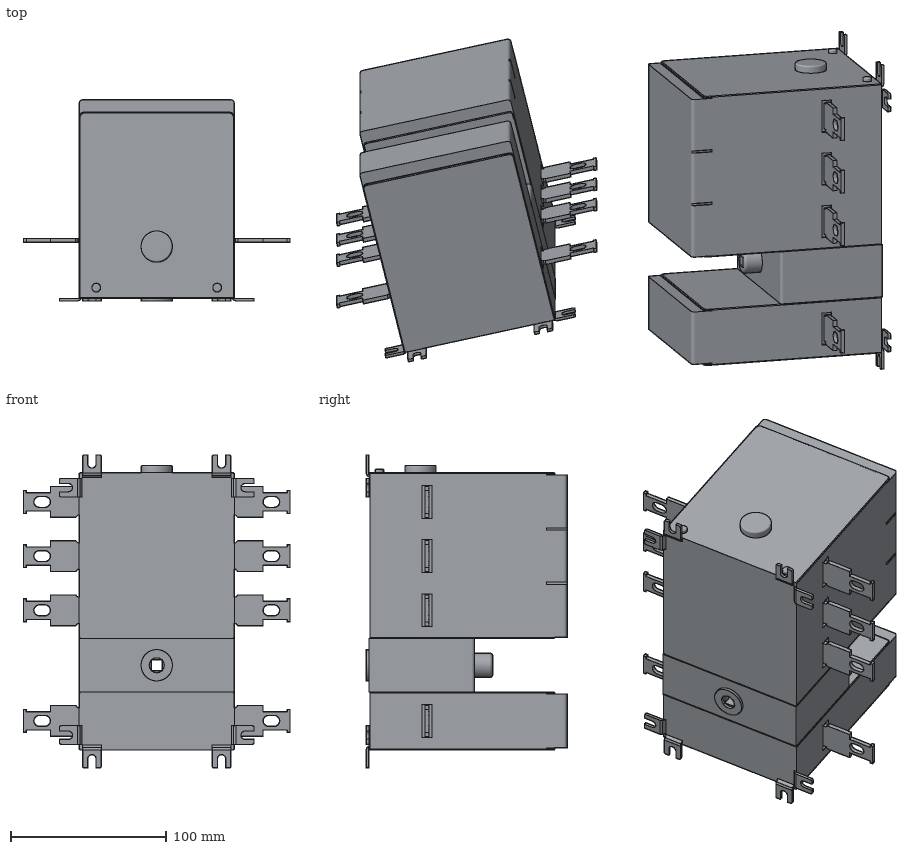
import cadquery as cq


overall_width = 172.0
overall_depth = 129.9
overall_height = 202.0

housing_width = 100.0
housing_half_height = 89.5
housing_front = 2.5
housing_back = 121.8
housing_corner = 3.0
housing_bevel = 0.6
pole_pitch = 35.0
cover_margin = 1.5
cover_top = housing_half_height - cover_margin
upper_pole_count = 3
lower_pole_z = -(cover_top - pole_pitch / 2)
pole_centres = [cover_top - (i + 0.5) * pole_pitch for i in range(upper_pole_count)] + [lower_pole_z]

cover_front = 116.4
cover_corner = 2.2
groove_width = 1.5
end_groove_width = 0.5
groove_depth = 1.0

drive_top = -17.4
drive_bottom = -52.1
drive_middle = (drive_top + drive_bottom) / 2
drive_front = 1.8
drive_back = 70.0
drive_corner = 1.8

shaft_radius = 7.9
shaft_back = 81.8
shaft_tip_round = 2.0
collar_radius = 10.0
bore_radius = 4.8
bore_depth = 1.8
socket_side = 6.9

button_radius = 10.0
button_height = 4.6
button_round = 1.0
button_y = 35.1
screw_radius = 2.8
screw_height = 2.2
screw_round = 0.8
screw_x = 39.0
screw_y = 8.7

terminal_y = 39.2
terminal_thickness = 2.6
terminal_height = 20.0
terminal_shoulder = 68.7
terminal_neck_height = 12.0
terminal_lip_height = 15.0
terminal_lip_width = 1.8
terminal_root = 51.0
terminal_embed = 2.0
terminal_corner = 1.5
terminal_hole_x = 74.0
terminal_hole_length = 10.5
terminal_hole_height = 6.9
window_thickness = 6.5
window_height = 21.2
window_depth = 2.0

foot_width = 12.1
foot_thickness = 1.8
foot_slot_width = 5.3
foot_slot_depth = 8.5
foot_tip_corner = 1.2
foot_bend_start = 11.7
foot_bend_middle = 13.3
foot_bend_end = 14.7
foot_bend_drop = 0.6
foot_root_top = 13.0
foot_embed = 1.0
end_foot_x = 41.8
side_foot_reach = 62.8
side_foot_z = 79.8


def box_between(width, y_front, y_back, z_bottom, z_top):
    """Box centred on X = 0, given by its limits along Y and Z."""
    return (
        cq.Workplane("XY")
        .box(width, y_back - y_front, z_top - z_bottom, centered=(True, False, False))
        .translate((0, y_front, z_bottom))
    )


def y_cylinder(radius, y_front, y_back):
    """Cylinder along Y on the drive axis."""
    return (
        cq.Workplane("XZ", origin=(0, y_front, drive_middle))
        .circle(radius)
        .extrude(-(y_back - y_front))
    )


def side_grooves(z_bottom, z_top):
    """Shallow groove in each side of a cover, between two heights."""
    groove = box_between(2 * groove_depth, cover_front, overall_depth, z_bottom, z_top)
    left = groove.translate((-housing_width / 2, 0, 0))
    return left.union(left.mirror("YZ"))


def pole_housing(z_bottom, z_top, cover_bottom, cover_upper):
    """Housing bevelled at the ends except along the front, and its cover rounded at the two back corners."""
    housing = box_between(housing_width, housing_front, housing_back, z_bottom, z_top)
    housing = housing.edges("|Z and >Y").fillet(housing_corner)
    housing = housing.faces("<Z or >Z").edges("not <Y").chamfer(housing_bevel)
    cover = box_between(housing_width, cover_front, overall_depth, cover_bottom, cover_upper)
    cover = cover.edges("|Z and >Y").fillet(cover_corner)
    housing = housing.cut(side_grooves(cover_upper, cover_upper + end_groove_width))
    housing = housing.cut(side_grooves(cover_bottom - end_groove_width, cover_bottom))
    return housing.union(cover)


def drive_block():
    block = box_between(housing_width, drive_front, drive_back, drive_bottom, drive_top)
    return block.edges("|Z and >Y").fillet(drive_corner)


def drive_shaft():
    shaft = y_cylinder(shaft_radius, drive_back, shaft_back)
    shaft = shaft.faces(">Y").edges().fillet(shaft_tip_round)
    return shaft.union(y_cylinder(collar_radius, 0, drive_front))


def drive_socket():
    """Round bore at the front, then a square hole out through the shaft."""
    half = socket_side / 2
    square = box_between(socket_side, 0, shaft_back, drive_middle - half, drive_middle + half)
    return square.union(y_cylinder(bore_radius, 0, bore_depth))


def top_button():
    return (
        cq.Workplane("XY", origin=(0, button_y, housing_half_height))
        .circle(button_radius)
        .extrude(button_height)
        .faces(">Z")
        .edges()
        .fillet(button_round)
    )


def screw_head(x):
    return (
        cq.Workplane("XY", origin=(x, screw_y, housing_half_height))
        .circle(screw_radius)
        .extrude(screw_height)
        .faces(">Z")
        .edges()
        .fillet(screw_round)
    )


def terminal(z):
    """Flat terminal on the +X side: wide root, narrow neck with an oval hole, and an end lip."""
    root_inner = housing_width / 2 - window_depth - terminal_embed
    lip_inner = overall_width / 2 - terminal_lip_width
    root_half = terminal_height / 2
    upper_edge = [
        (root_inner, root_half - terminal_corner),
        (terminal_root, root_half - terminal_corner),
        (terminal_root + terminal_corner, root_half),
        (terminal_shoulder, root_half),
        (terminal_shoulder, terminal_neck_height / 2),
        (lip_inner, terminal_neck_height / 2),
        (lip_inner, terminal_lip_height / 2),
        (overall_width / 2, terminal_lip_height / 2),
    ]
    lower_edge = [(x, -height) for x, height in reversed(upper_edge)]
    plane = cq.Workplane("XZ", origin=(0, terminal_y, z))
    plate = plane.polyline(upper_edge + lower_edge).close().extrude(terminal_thickness / 2, both=True)
    hole = (
        plane.center(terminal_hole_x, 0)
        .slot2D(terminal_hole_length, terminal_hole_height)
        .extrude(terminal_thickness, both=True)
    )
    return plate.cut(hole)


def terminal_window(z):
    """Recess in the +X side of the housing around a terminal."""
    return cq.Workplane("XY").box(2 * window_depth, window_thickness, window_height).translate(
        (housing_width / 2, terminal_y, z)
    )


def foot():
    """Foot pointing up +Z with its tip at Z = 0: a forked plate bent back into the housing."""
    inside = housing_front + foot_embed
    profile = [
        (0, 0),
        (foot_thickness, 0),
        (foot_thickness, -foot_root_top),
        (inside, -foot_root_top),
        (inside, -foot_bend_end),
        (housing_front, -foot_bend_end),
        (foot_bend_drop, -foot_bend_middle),
        (0, -foot_bend_start),
    ]
    plate = cq.Workplane("YZ").polyline(profile).close().extrude(foot_width / 2, both=True)
    slot_radius = foot_slot_width / 2
    slot = (
        cq.Workplane("XZ")
        .moveTo(-slot_radius, 0)
        .lineTo(-slot_radius, slot_radius - foot_slot_depth)
        .threePointArc((0, -foot_slot_depth), (slot_radius, slot_radius - foot_slot_depth))
        .lineTo(slot_radius, 0)
        .close()
        .extrude(-foot_thickness)
    )
    return plate.edges("|Y and >Z").edges("<X or >X").fillet(foot_tip_corner).cut(slot)


def mounting_feet():
    """Two feet at each end and two on each side, mirrored about the middle."""
    end_foot = foot().translate((end_foot_x, 0, overall_height / 2))
    side_foot = foot().rotate((0, 0, 0), (0, 1, 0), 90).translate((side_foot_reach, 0, side_foot_z))
    corner_feet = end_foot.union(side_foot)
    right_feet = corner_feet.union(corner_feet.mirror("XY"))
    return right_feet.union(right_feet.mirror("YZ"))


upper_cover_bottom = cover_top - upper_pole_count * pole_pitch
body = pole_housing(drive_top, housing_half_height, upper_cover_bottom, cover_top)
for joint in range(1, upper_pole_count):
    joint_z = cover_top - joint * pole_pitch
    body = body.cut(side_grooves(joint_z - groove_width / 2, joint_z + groove_width / 2))
body = body.union(pole_housing(-housing_half_height, drive_bottom, -cover_top, -cover_top + pole_pitch))
body = body.union(drive_block()).union(drive_shaft()).cut(drive_socket())

body = body.union(top_button())
for x in (-screw_x, screw_x):
    body = body.union(screw_head(x))

for z in pole_centres:
    window = terminal_window(z)
    blade = terminal(z)
    body = body.cut(window).cut(window.mirror("YZ"))
    body = body.union(blade).union(blade.mirror("YZ"))

result = body.union(mounting_feet())